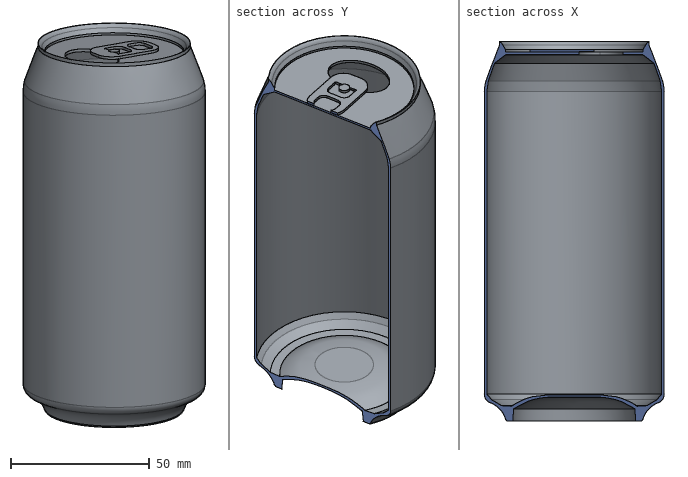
import cadquery as cq
import math

HEIGHT = 137.5
BODY_RADIUS = 33.0
BORE_RADIUS = 64.0 / 2
WALL = BODY_RADIUS - BORE_RADIUS

FOOT_RADIUS = 24.9
FOOT_TOP_RADIUS = 25.5
FOOT_TOP_Z = 0.7
FLARE_MID_RADIUS = 27.8
FLARE_MID_Z = 4.7
FLARE_TOP_RADIUS = 31.2
FLARE_TOP_Z = 6.7
BODY_BOTTOM_Z = 9.8

BODY_TOP_Z = 119.4
SHOULDER_TOP_RADIUS = 32.5
SHOULDER_TOP_Z = 123.2
NECK_MID_RADIUS = 30.2
NECK_MID_Z = 129.5
RIM_RADIUS = 55.1 / 2
RIM_BOTTOM_Z = 136.1

LIP_RADIUS = 52.4 / 2
LIP_Z = 136.1
LIP_MID_RADIUS = 26.8
LIP_MID_Z = 137.0
LID_RADIUS = 50.5 / 2
LID_EDGE_Z = 134.5
LID_Z = 133.6

DOME_FLAT_RADIUS = 10.6
DOME_TOP_Z = 9.6
DOME_MID_RADIUS = 18.5
DOME_MID_Z = 8.1
DOME_EDGE_RADIUS = 23.4
DOME_EDGE_Z = 5.5
FOOT_INNER_RADIUS = 22.7

MOUTH_HALF_WIDTH = 12.1
MOUTH_CENTER_Y = -9.4
MOUTH_FRONT_DEPTH = 9.0
MOUTH_REAR_DEPTH = 8.1

TAB_WIDTH = 15.0
TAB_FRONT_Y = -8.0
TAB_REAR_Y = 16.9
TAB_CORNER = 5.6
TAB_THICKNESS = 1.0
WINDOW_WIDTH = 9.1
WINDOW_CORNER = 2.3
FINGER_FRONT_Y = 7.7
FINGER_REAR_Y = 14.7
RIVET_WINDOW_FRONT_Y = -1.1
RIVET_WINDOW_REAR_Y = 5.6
RIVET_DIAMETER = 4.0
RIVET_HEIGHT = TAB_THICKNESS


def revolve(profile):
    """Revolve a closed radius/height profile about the can axis."""
    return profile.close().revolve(360, (0, 0, 0), (0, 1, 0))


def body_arc_mid(end_radius, end_z, body_z):
    """Middle of an arc that leaves the straight body wall tangentially at body_z."""
    inset = BODY_RADIUS - end_radius
    rise = end_z - body_z
    arc_radius = (inset**2 + rise**2) / (2 * inset)
    half_angle = math.atan2(rise, arc_radius - inset) / 2
    mid_inset = arc_radius * (1 - math.cos(half_angle))
    return BODY_RADIUS - mid_inset, body_z + arc_radius * math.sin(half_angle)


def make_envelope():
    """Outside of the can, including the recess above the lid."""
    heel_mid = body_arc_mid(FLARE_TOP_RADIUS, FLARE_TOP_Z, BODY_BOTTOM_Z)
    shoulder_mid = body_arc_mid(SHOULDER_TOP_RADIUS, SHOULDER_TOP_Z, BODY_TOP_Z)
    profile = (
        cq.Workplane("XZ")
        .lineTo(FOOT_RADIUS, 0)
        .lineTo(FOOT_TOP_RADIUS, FOOT_TOP_Z)
        .threePointArc((FLARE_MID_RADIUS, FLARE_MID_Z), (FLARE_TOP_RADIUS, FLARE_TOP_Z))
        .threePointArc(heel_mid, (BODY_RADIUS, BODY_BOTTOM_Z))
        .lineTo(BODY_RADIUS, BODY_TOP_Z)
        .threePointArc(shoulder_mid, (SHOULDER_TOP_RADIUS, SHOULDER_TOP_Z))
        .threePointArc((NECK_MID_RADIUS, NECK_MID_Z), (RIM_RADIUS, RIM_BOTTOM_Z))
        .lineTo(RIM_RADIUS, HEIGHT)
        .threePointArc((LIP_MID_RADIUS, LIP_MID_Z), (LIP_RADIUS, LIP_Z))
        .lineTo(LID_RADIUS, LID_EDGE_Z)
        .lineTo(LID_RADIUS, LID_Z)
        .lineTo(0, LID_Z)
    )
    return revolve(profile)


def make_cavity():
    """Hollow inside, one wall thickness in from the outside, over the domed floor."""
    profile = (
        cq.Workplane("XZ")
        .moveTo(0, DOME_TOP_Z)
        .lineTo(DOME_FLAT_RADIUS, DOME_TOP_Z)
        .threePointArc((DOME_MID_RADIUS, DOME_MID_Z), (DOME_EDGE_RADIUS, DOME_EDGE_Z))
        .lineTo(FLARE_MID_RADIUS - WALL, FLARE_MID_Z + WALL)
        .lineTo(FLARE_TOP_RADIUS - WALL, FLARE_TOP_Z + WALL)
        .lineTo(BORE_RADIUS, BODY_BOTTOM_Z)
        .lineTo(BORE_RADIUS, BODY_TOP_Z)
        .lineTo(SHOULDER_TOP_RADIUS - WALL, SHOULDER_TOP_Z)
        .lineTo(NECK_MID_RADIUS - WALL, NECK_MID_Z)
        .lineTo(LID_RADIUS, LID_Z - WALL)
        .lineTo(0, LID_Z - WALL)
    )
    return revolve(profile)


def make_underside():
    """Hollow under the domed floor, one wall thickness below it."""
    profile = (
        cq.Workplane("XZ")
        .lineTo(FOOT_INNER_RADIUS, 0)
        .lineTo(DOME_EDGE_RADIUS - WALL, DOME_EDGE_Z - WALL)
        .threePointArc(
            (DOME_MID_RADIUS - WALL, DOME_MID_Z - WALL),
            (DOME_FLAT_RADIUS, DOME_TOP_Z - WALL),
        )
        .lineTo(0, DOME_TOP_Z - WALL)
    )
    return revolve(profile)


def make_mouth():
    """Opening through the lid, made of two half ellipses of different depth."""
    return (
        cq.Workplane("XY", origin=(0, MOUTH_CENTER_Y, LID_Z))
        .moveTo(-MOUTH_HALF_WIDTH, 0)
        .ellipseArc(MOUTH_HALF_WIDTH, MOUTH_FRONT_DEPTH, 180, 360, startAtCurrent=True)
        .ellipseArc(MOUTH_HALF_WIDTH, MOUTH_REAR_DEPTH, 0, 180, startAtCurrent=True)
        .wire()
        .extrude(-WALL)
    )


def make_can():
    can = make_envelope().cut(make_cavity())
    return can.cut(make_underside()).cut(make_mouth())


def make_plate(width, front_y, rear_y, corner, rounded_edges):
    """Plate of tab thickness on the lid, with the selected upright edges rounded."""
    return (
        cq.Workplane("XY", origin=(0, (front_y + rear_y) / 2, LID_Z))
        .rect(width, rear_y - front_y)
        .extrude(TAB_THICKNESS)
        .edges(rounded_edges)
        .fillet(corner)
    )


def make_rivet():
    return cq.Workplane("XY", origin=(0, 0, LID_Z)).circle(RIVET_DIAMETER / 2).extrude(RIVET_HEIGHT)


def make_tab(rivet):
    """Tab with a finger window and a rivet window whose front edge fits round the rivet."""
    plate = make_plate(TAB_WIDTH, TAB_FRONT_Y, TAB_REAR_Y, TAB_CORNER, "|Z")
    finger_window = make_plate(WINDOW_WIDTH, FINGER_FRONT_Y, FINGER_REAR_Y, WINDOW_CORNER, "|Z")
    rivet_window = make_plate(
        WINDOW_WIDTH, RIVET_WINDOW_FRONT_Y, RIVET_WINDOW_REAR_Y, WINDOW_CORNER, "|Z and >Y"
    )
    return plate.cut(finger_window).cut(rivet_window).cut(rivet)


can = make_can()
rivet = make_rivet()
tab = make_tab(rivet)

result = cq.Compound.makeCompound([can.val(), tab.val(), rivet.val()])